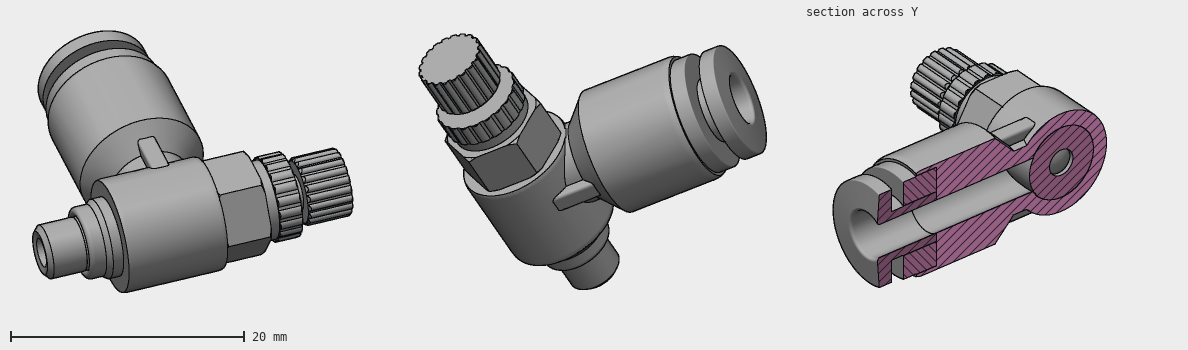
import cadquery as cq
import math


LENGTH_X = 25.18
LENGTH_Y = 27.4
BODY_R = 10.0 / 2
BRANCH_R = 11.2 / 2

THREAD_END_Y = -11.8
THREAD_START_Y = -8.35
GASKET_END_Y = -8.27
GASKET_START_Y = -6.88
SLEEVE_END_Y = -6.38
BODY_BOTTOM_Y = -5.45
BODY_TOP_Y = 3.5
HEX_TOP_Y = 7.7
NUT_BOTTOM_Y = 8.7
NUT_TOP_Y = 10.77
KNOB_BOTTOM_Y = 11.6
KNOB_TOP_Y = THREAD_END_Y + LENGTH_Y

BUTTON_TIP_X = BODY_R - LENGTH_X
BUTTON_RIM_X = -19.97
FLANGE_BACK_X = -18.6
GUIDE_FACE_X = -17.32
BRANCH_FACE_X = -15.92
SOCKET_FLOOR_X = -13.7
CONE_START_X = -7.25

BODY_EDGE_LENGTH = 0.4
BODY_EDGE_DEPTH = 0.08
BRANCH_EDGE_LENGTH = 0.6
BRANCH_EDGE_DEPTH = 0.16
BRANCH_NECK_R = 3.55
CONE_END_X = CONE_START_X + BRANCH_R - BRANCH_NECK_R
RIB_LEFT_X = -6.3
RIB_RIGHT_X = -1.37
RIB_WIDTH = 1.62
RIB_TOP_Z = 4.5
RIB_FILLET = 0.3

GUIDE_R = 5.18
GUIDE_FILLET = 0.08
BUTTON_R = 4.95
BUTTON_RIM_FILLET = 0.1
BUTTON_NECK_R = 2.88
TUBE_BORE_R = 2.2
TUBE_BORE_FILLET = 0.27

STEM_R = 3.5
GASKET_R = 3.18
GASKET_BORE_R = 2.35
GASKET_ROUND_R = (GASKET_R - GASKET_BORE_R) / 2
THREAD_R = 2.38
THREAD_TIP_R = 1.92
THREAD_CHAMFER_LENGTH = 0.45
STEM_BORE_R = 1.25
COUNTERSINK_R = 1.75
COUNTERSINK_DEPTH = 0.15
HEX_ACROSS_FLATS = 8.0
HEX_CORNER_R = HEX_ACROSS_FLATS / math.sqrt(3)
HEX_CHAMFER_R = 4.27
HEX_CHAMFER_HEIGHT = 0.22

NEEDLE_R = 1.55
NEEDLE_TIP_Y = -1.37
NEEDLE_DOME_HEIGHT = 0.55
RIDGE_COUNT = 20
RIDGE_PITCH = 360 / RIDGE_COUNT
KNOB_R = 3.0
KNOB_RIDGE_R = 0.33
KNOB_ROOT_R = 2.75
KNOB_LOWER_CHAMFER = 0.22
NUT_R = 3.78
NUT_RIDGE_R = 0.55
NUT_ROOT_R = 3.62
EDGE_CHAMFER = 0.08


def tangent_arc_middle(length, depth):
    """Middle of an arc that leaves a straight side tangentially and drops by depth over length.

    Returns the distance along the side from the tangent point, and the drop there.
    """
    radius = (length**2 + depth**2) / (2 * depth)
    half_angle = math.asin(length / radius) / 2
    return radius * math.sin(half_angle), radius * (1 - math.cos(half_angle))


def turn_about_x(profile):
    return profile.close().revolve(360, (0, 0, 0), (1, 0, 0))


def turn_about_y(profile):
    return profile.close().revolve(360, (0, 0, 0), (0, 1, 0))


def rod_along_x(radius, start, end):
    return cq.Workplane("YZ", origin=(start, 0, 0)).circle(radius).extrude(end - start)


def rod_along_y(radius, start, end):
    return cq.Workplane("XZ", origin=(0, end, 0)).circle(radius).extrude(end - start)


def make_valve_barrel():
    """Cylinder on the valve axis with softly rounded ends."""
    along, drop = tangent_arc_middle(BODY_EDGE_LENGTH, BODY_EDGE_DEPTH)
    end_r = BODY_R - BODY_EDGE_DEPTH
    lower_y = BODY_BOTTOM_Y + BODY_EDGE_LENGTH
    upper_y = BODY_TOP_Y - BODY_EDGE_LENGTH
    return turn_about_y(
        cq.Workplane("XY")
        .moveTo(0, BODY_BOTTOM_Y)
        .lineTo(end_r, BODY_BOTTOM_Y)
        .threePointArc((BODY_R - drop, lower_y - along), (BODY_R, lower_y))
        .lineTo(BODY_R, upper_y)
        .threePointArc((BODY_R - drop, upper_y + along), (end_r, BODY_TOP_Y))
        .lineTo(0, BODY_TOP_Y)
    )


def make_branch():
    """Tube branch: rounded mouth, cylinder, cone and neck."""
    along, drop = tangent_arc_middle(BRANCH_EDGE_LENGTH, BRANCH_EDGE_DEPTH)
    mouth_x = BRANCH_FACE_X + BRANCH_EDGE_LENGTH
    return turn_about_x(
        cq.Workplane("XY")
        .moveTo(BRANCH_FACE_X, 0)
        .lineTo(BRANCH_FACE_X, BRANCH_R - BRANCH_EDGE_DEPTH)
        .threePointArc((mouth_x - along, BRANCH_R - drop), (mouth_x, BRANCH_R))
        .lineTo(CONE_START_X, BRANCH_R)
        .lineTo(CONE_END_X, BRANCH_NECK_R)
        .lineTo(0, BRANCH_NECK_R)
        .lineTo(0, 0)
    )


def make_ribs():
    """One bar that stands out above and below as two ribs between branch and barrel."""
    rib_length = RIB_RIGHT_X - RIB_LEFT_X
    return (
        cq.Workplane("XY", origin=(RIB_LEFT_X + rib_length / 2, 0, 0))
        .box(rib_length, RIB_WIDTH, 2 * RIB_TOP_Z)
        .edges("|X")
        .fillet(RIB_FILLET)
    )


def make_housing():
    housing = make_valve_barrel().union(make_branch()).union(make_ribs())
    return (
        housing
        .cut(rod_along_y(BODY_R, BODY_TOP_Y, HEX_TOP_Y))
        .cut(rod_along_y(STEM_R, BODY_BOTTOM_Y, BODY_TOP_Y))
        .cut(rod_along_x(GUIDE_R, BRANCH_FACE_X, SOCKET_FLOOR_X))
        .cut(rod_along_x(TUBE_BORE_R, SOCKET_FLOOR_X, 0))
    )


def make_guide_ring():
    ring = rod_along_x(GUIDE_R, GUIDE_FACE_X, SOCKET_FLOOR_X)
    ring = ring.faces("<X").edges().fillet(GUIDE_FILLET)
    return ring.cut(rod_along_x(BUTTON_NECK_R, GUIDE_FACE_X, SOCKET_FLOOR_X))


def make_release_button():
    """Flanged sleeve with a slightly conical front and a rounded bore mouth."""
    button = turn_about_x(
        cq.Workplane("XY")
        .moveTo(BUTTON_TIP_X, TUBE_BORE_R)
        .lineTo(BUTTON_TIP_X, TUBE_BORE_R + TUBE_BORE_FILLET)
        .lineTo(BUTTON_RIM_X, BUTTON_R)
        .lineTo(FLANGE_BACK_X, BUTTON_R)
        .lineTo(FLANGE_BACK_X, BUTTON_NECK_R)
        .lineTo(SOCKET_FLOOR_X, BUTTON_NECK_R)
        .lineTo(SOCKET_FLOOR_X, TUBE_BORE_R)
    )
    rim = cq.selectors.BoxSelector(
        (BUTTON_RIM_X - BUTTON_RIM_FILLET, -BUTTON_R, -BUTTON_R),
        (BUTTON_RIM_X + BUTTON_RIM_FILLET, BUTTON_R, BUTTON_R),
    )
    button = button.edges(rim).fillet(BUTTON_RIM_FILLET)
    mouth_r = TUBE_BORE_R + TUBE_BORE_FILLET
    mouth_x = BUTTON_TIP_X + TUBE_BORE_FILLET
    slant = TUBE_BORE_FILLET * math.sin(math.radians(45))
    mouth = turn_about_x(
        cq.Workplane("XY")
        .moveTo(BUTTON_TIP_X, TUBE_BORE_R)
        .lineTo(BUTTON_TIP_X, mouth_r)
        .threePointArc((mouth_x - slant, mouth_r - slant), (mouth_x, TUBE_BORE_R))
    )
    return button.cut(mouth)


def make_hex():
    """Hexagon with corners on the X axis, chamfered at both ends."""
    hexagon = (
        cq.Workplane("XZ", origin=(0, HEX_TOP_Y, 0))
        .polygon(6, 2 * HEX_CORNER_R)
        .extrude(HEX_TOP_Y - BODY_TOP_Y)
    )
    envelope = turn_about_y(
        cq.Workplane("XY")
        .moveTo(0, BODY_TOP_Y)
        .lineTo(HEX_CHAMFER_R, BODY_TOP_Y)
        .lineTo(HEX_CORNER_R, BODY_TOP_Y + HEX_CHAMFER_HEIGHT)
        .lineTo(HEX_CORNER_R, HEX_TOP_Y - HEX_CHAMFER_HEIGHT)
        .lineTo(HEX_CHAMFER_R, HEX_TOP_Y)
        .lineTo(0, HEX_TOP_Y)
    )
    return hexagon.intersect(envelope)


def make_stem(needle):
    """Sleeve with hexagon, gasket seat and threaded end, bored for the flow and the needle."""
    stem = turn_about_y(
        cq.Workplane("XY")
        .moveTo(0, THREAD_END_Y)
        .lineTo(THREAD_TIP_R, THREAD_END_Y)
        .lineTo(THREAD_R, THREAD_END_Y + THREAD_CHAMFER_LENGTH)
        .lineTo(THREAD_R, THREAD_START_Y)
        .lineTo(GASKET_BORE_R, THREAD_START_Y)
        .lineTo(GASKET_BORE_R, GASKET_START_Y)
        .lineTo(GASKET_R, GASKET_START_Y)
        .lineTo(STEM_R, SLEEVE_END_Y)
        .lineTo(STEM_R, NUT_BOTTOM_Y)
        .lineTo(0, NUT_BOTTOM_Y)
    )
    countersink = turn_about_y(
        cq.Workplane("XY")
        .moveTo(0, THREAD_END_Y)
        .lineTo(COUNTERSINK_R, THREAD_END_Y)
        .lineTo(STEM_BORE_R, THREAD_END_Y + COUNTERSINK_DEPTH)
        .lineTo(0, THREAD_END_Y + COUNTERSINK_DEPTH)
    )
    flow_bore = rod_along_y(STEM_BORE_R, THREAD_END_Y, NEEDLE_TIP_Y + NEEDLE_DOME_HEIGHT)
    return stem.union(make_hex()).cut(countersink).cut(flow_bore).cut(needle)


def make_gasket():
    """Seal ring around the stem with a half-round lower end."""
    round_y = GASKET_END_Y + GASKET_ROUND_R
    return turn_about_y(
        cq.Workplane("XY")
        .moveTo(GASKET_BORE_R, GASKET_START_Y)
        .lineTo(GASKET_BORE_R, round_y)
        .threePointArc((GASKET_BORE_R + GASKET_ROUND_R, GASKET_END_Y), (GASKET_R, round_y))
        .lineTo(GASKET_R, GASKET_START_Y)
    )


def make_knurled_wheel(tip_r, root_r, ridge_r, bottom_y, top_y, first_angle, lower_chamfer):
    """Wheel on the valve axis with round ridges, trimmed by chamfers at both ends."""
    wheel = rod_along_y(root_r, bottom_y, top_y)
    for index in range(RIDGE_COUNT):
        angle = math.radians(first_angle + index * RIDGE_PITCH)
        centre_r = tip_r - ridge_r
        offset = (centre_r * math.cos(angle), 0, centre_r * math.sin(angle))
        wheel = wheel.union(rod_along_y(ridge_r, bottom_y, top_y).translate(offset))
    envelope = rod_along_y(tip_r, bottom_y, top_y)
    envelope = envelope.faces("<Y").chamfer(lower_chamfer)
    envelope = envelope.faces(">Y").chamfer(EDGE_CHAMFER)
    return wheel.intersect(envelope)


def make_needle():
    """Adjusting needle: knurled knob, shank and domed tip."""
    knob = make_knurled_wheel(
        KNOB_R, KNOB_ROOT_R, KNOB_RIDGE_R, KNOB_BOTTOM_Y, KNOB_TOP_Y,
        RIDGE_PITCH / 2, KNOB_LOWER_CHAMFER,
    )
    dome_sphere_r = (NEEDLE_R**2 + NEEDLE_DOME_HEIGHT**2) / (2 * NEEDLE_DOME_HEIGHT)
    dome_top_y = NEEDLE_TIP_Y + NEEDLE_DOME_HEIGHT
    shank = turn_about_y(
        cq.Workplane("XY")
        .moveTo(0, NEEDLE_TIP_Y)
        .radiusArc((NEEDLE_R, dome_top_y), -dome_sphere_r)
        .lineTo(NEEDLE_R, KNOB_BOTTOM_Y)
        .lineTo(0, KNOB_BOTTOM_Y)
    )
    return knob.union(shank)


def make_lock_nut():
    nut = make_knurled_wheel(
        NUT_R, NUT_ROOT_R, NUT_RIDGE_R, NUT_BOTTOM_Y, NUT_TOP_Y, 0, EDGE_CHAMFER,
    )
    return nut.cut(rod_along_y(NEEDLE_R, NUT_BOTTOM_Y, NUT_TOP_Y))


housing = make_housing()
guide_ring = make_guide_ring()
release_button = make_release_button()
needle = make_needle()
stem = make_stem(needle)
gasket = make_gasket()
lock_nut = make_lock_nut()

bodies = [housing, guide_ring, release_button, needle, stem, gasket, lock_nut]
result = cq.Compound.makeCompound([body.solids().val() for body in bodies])